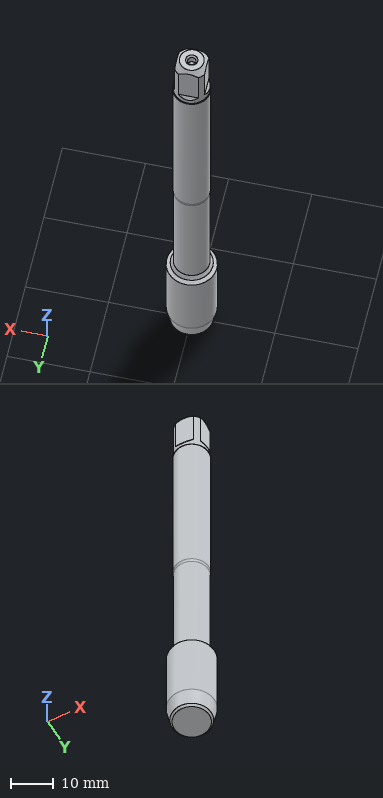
import cadquery as cq

total_length = 110.0

head_diameter = 12.1
head_top = 23.1
lead_taper_top = 4.7
lead_tip_diameter = 10.3
tip_chamfer_diameter = 9.2
tip_chamfer_height = 0.5

shoulder_diameter = 10.1
shoulder_rim_top = 23.6
shoulder_top = 24.6
neck_diameter = 8.7
shank_diameter = 9.0
neck_top = 54.5
neck_cone_top = 55.2
shank_top = 97.9
drive_diameter = 8.7
drive_cone_height = (shank_diameter - drive_diameter) / 2
end_face_diameter = 5.8

square_width = 7.3
square_bottom = 100.0
runout = (shank_diameter - square_width) / 2

centre_mouth_diameter = 2.9
centre_drill_diameter = 2.0
centre_drill_depth = 2.2
centre_point_depth = 0.5


def revolved(profile):
    """Turn a closed list of (radius, height) points about the Z axis."""
    return cq.Workplane("XZ").polyline(profile).close().revolve(360, (0, 0), (0, 1))


def make_cutting_head():
    return revolved([
        (0, 0),
        (tip_chamfer_diameter / 2, 0),
        (lead_tip_diameter / 2, tip_chamfer_height),
        (head_diameter / 2, lead_taper_top),
        (head_diameter / 2, head_top),
        (0, head_top),
    ])


def make_turned_shank():
    end_chamfer = (drive_diameter - end_face_diameter) / 2
    return revolved([
        (0, head_top),
        (head_diameter / 2, head_top),
        (shoulder_diameter / 2, shoulder_rim_top),
        (neck_diameter / 2, shoulder_top),
        (neck_diameter / 2, neck_top),
        (shank_diameter / 2, neck_cone_top),
        (shank_diameter / 2, shank_top),
        (drive_diameter / 2, shank_top + drive_cone_height),
        (drive_diameter / 2, total_length - end_chamfer),
        (end_face_diameter / 2, total_length),
        (0, total_length),
    ])


def make_flat_cutter():
    """Material removed outside the +X flat, with a sloping run-out at its foot."""
    flat_x = square_width / 2
    outer_x = flat_x + 2 * runout
    profile = [
        (flat_x, square_bottom),
        (outer_x, square_bottom - 2 * runout),
        (outer_x, total_length),
        (flat_x, total_length),
    ]
    return cq.Workplane("XZ").polyline(profile).close().extrude(shank_diameter / 2, both=True)


def make_centre_hole():
    countersink_depth = (centre_mouth_diameter - centre_drill_diameter) / 2
    drill_bottom = total_length - centre_drill_depth
    return revolved([
        (0, total_length),
        (centre_mouth_diameter / 2, total_length),
        (centre_drill_diameter / 2, total_length - countersink_depth),
        (centre_drill_diameter / 2, drill_bottom),
        (0, drill_bottom - centre_point_depth),
    ])


def make_shank():
    body = make_turned_shank()
    for angle in (0, 90, 180, 270):
        body = body.cut(make_flat_cutter().rotate((0, 0, 0), (0, 0, 1), angle))
    return body.cut(make_centre_hole())


cutting_head = make_cutting_head()
shank = make_shank()

result = cq.Compound.makeCompound([cutting_head.val(), shank.val()])